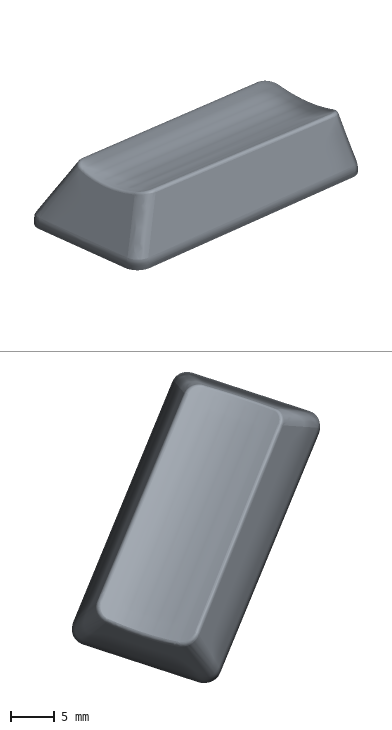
import cadquery as cq
import math

WIDTH = 18.16
LENGTH = 37.21
HEIGHT = 7.62

SKIRT_HEIGHT = 0.57
SHOULDER_TOP = 1.3
SIDE_DRAFT = 25.0
FRONT_DRAFT = 33.5
BACK_DRAFT = 4.8
CORNER_RADIUS = 2.0
FRONT_SLOPE_CORNER_RADIUS = 1.7
SHOULDER_STEPS = 4

DISH_RADIUS = 20.0
DISH_TILT = 1.0
DISH_FRONT_HEIGHT = 6.92
RIM_RADIUS = 0.45

TRIM_ALLOWANCE = 0.6
CUTTER_OVERRUN = 10.0


def wall_inset(draft, z):
    """Distance the wall has leaned in at height z.

    The shoulder is a parabola, upright at the skirt and tangent to the slope above it.
    """
    slope = math.tan(math.radians(draft))
    shoulder_rise = SHOULDER_TOP - SKIRT_HEIGHT
    if z <= SHOULDER_TOP:
        return slope * (z - SKIRT_HEIGHT) ** 2 / (2 * shoulder_rise)
    return slope * (z - SHOULDER_TOP + shoulder_rise / 2)


def front_corner_radius(z):
    """Front corner radius at height z, easing over the shoulder from the skirt to the slope value."""
    progress = min((z - SKIRT_HEIGHT) / (SHOULDER_TOP - SKIRT_HEIGHT), 1)
    eased = progress ** 2 * (3 - 2 * progress)
    return CORNER_RADIUS + eased * (FRONT_SLOPE_CORNER_RADIUS - CORNER_RADIUS)


def section(z):
    """Rounded rectangle that the body has at height z, from the skirt top upwards."""
    width = WIDTH - 2 * wall_inset(SIDE_DRAFT, z)
    front = -LENGTH / 2 + wall_inset(FRONT_DRAFT, z)
    back = LENGTH / 2 - wall_inset(BACK_DRAFT, z)
    outline = (
        cq.Sketch()
        .rect(width, back - front)
        .vertices("<Y")
        .fillet(front_corner_radius(z))
        .reset()
        .vertices(">Y")
        .fillet(CORNER_RADIUS)
    )
    return outline.moved(cq.Location(cq.Vector(0, (front + back) / 2, z)))


def make_body():
    """Skirt, shoulder and sloping walls stacked into one solid."""
    step = (SHOULDER_TOP - SKIRT_HEIGHT) / SHOULDER_STEPS
    shoulder_sections = [section(SKIRT_HEIGHT + step * i) for i in range(SHOULDER_STEPS + 1)]
    stock_top = section(HEIGHT + TRIM_ALLOWANCE)
    skirt = cq.Workplane("XY").placeSketch(shoulder_sections[0]).extrude(-SKIRT_HEIGHT)
    shoulder = cq.Workplane("XY").placeSketch(*shoulder_sections).loft()
    slope = cq.Workplane("XY").placeSketch(shoulder_sections[-1], stock_top).loft(ruled=True)
    return skirt.union(shoulder).union(slope)


def cut_dish(body):
    """Cut the top with a wide cylinder lying lengthwise and tilted down at the back."""
    cutter_start = LENGTH / 2 + CUTTER_OVERRUN
    cutter = (
        cq.Workplane("XZ", origin=(0, cutter_start, DISH_FRONT_HEIGHT + DISH_RADIUS))
        .circle(DISH_RADIUS)
        .extrude(2 * cutter_start)
    )
    pivot_start = (0, -LENGTH / 2, DISH_FRONT_HEIGHT)
    pivot_end = (1, -LENGTH / 2, DISH_FRONT_HEIGHT)
    return body.cut(cutter.rotate(pivot_start, pivot_end, -DISH_TILT))


def round_rim(body):
    """Soften the edge between the dish and the walls."""
    return body.faces(">Z").edges().fillet(RIM_RADIUS)


result = round_rim(cut_dish(make_body()))